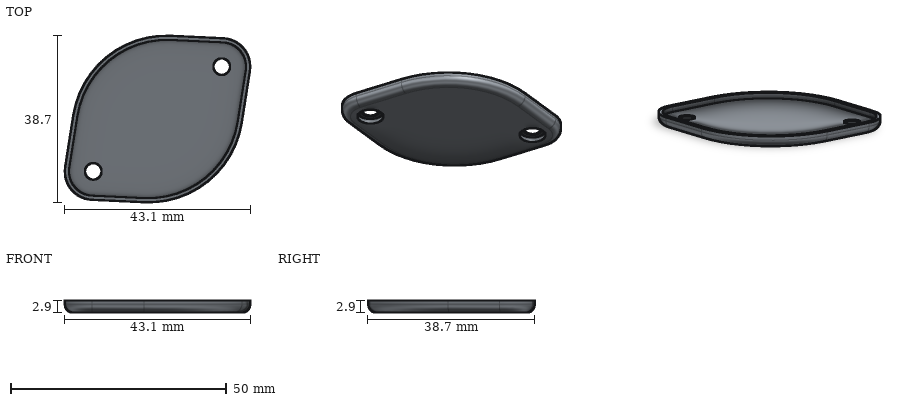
import cadquery as cq
import math

height = 2.9
wall = 1.0
floor = 1.55
bottom_fillet = 2.0

hole_x = 14.9
hole_y = 12.15
hole_diameter = 3.8
counterbore_diameter = 6.0
hole_land = 0.3
lobe_radius = 6.65
side_radius = 21.95
side_center_offset = 3.35

lobe_distance = math.hypot(hole_x, hole_y)
axis_angle = math.degrees(math.atan2(hole_y, hole_x))


def outline_solid(inset, base, depth):
    """Extrude the outline, moved inward by inset, from height base."""
    lobe = lobe_radius - inset
    side = side_radius - inset
    center_gap = math.hypot(lobe_distance, side_center_offset)
    normal = math.asin((side - lobe) / center_gap) - math.atan2(side_center_offset, lobe_distance)
    side_x = side * math.sin(normal)
    side_y = side * math.cos(normal) - side_center_offset
    lobe_x = lobe_distance + lobe * math.sin(normal)
    lobe_y = lobe * math.cos(normal)
    lobe_tip = lobe_distance + lobe
    side_tip = side - side_center_offset
    return (
        cq.Workplane("XY")
        .workplane(offset=base)
        .moveTo(-side_x, side_y)
        .threePointArc((0, side_tip), (side_x, side_y))
        .lineTo(lobe_x, lobe_y)
        .threePointArc((lobe_tip, 0), (lobe_x, -lobe_y))
        .lineTo(side_x, -side_y)
        .threePointArc((0, -side_tip), (-side_x, -side_y))
        .lineTo(-lobe_x, -lobe_y)
        .threePointArc((-lobe_tip, 0), (-lobe_x, lobe_y))
        .close()
        .extrude(depth)
    )


body = outline_solid(0, 0, height).faces("<Z").edges().fillet(bottom_fillet)
cavity = outline_solid(wall, floor, height - floor)

def hole_cutter(x):
    """Through hole at x on the long axis, counterbored from the underside."""
    hole = cq.Workplane("XY").center(x, 0).circle(hole_diameter / 2).extrude(height)
    counterbore = (
        cq.Workplane("XY").center(x, 0).circle(counterbore_diameter / 2).extrude(floor - hole_land)
    )
    return hole.union(counterbore)


tray = body.cut(cavity)
for hole_position in (-lobe_distance, lobe_distance):
    tray = tray.cut(hole_cutter(hole_position))

result = tray.rotate((0, 0, 0), (0, 0, 1), axis_angle)